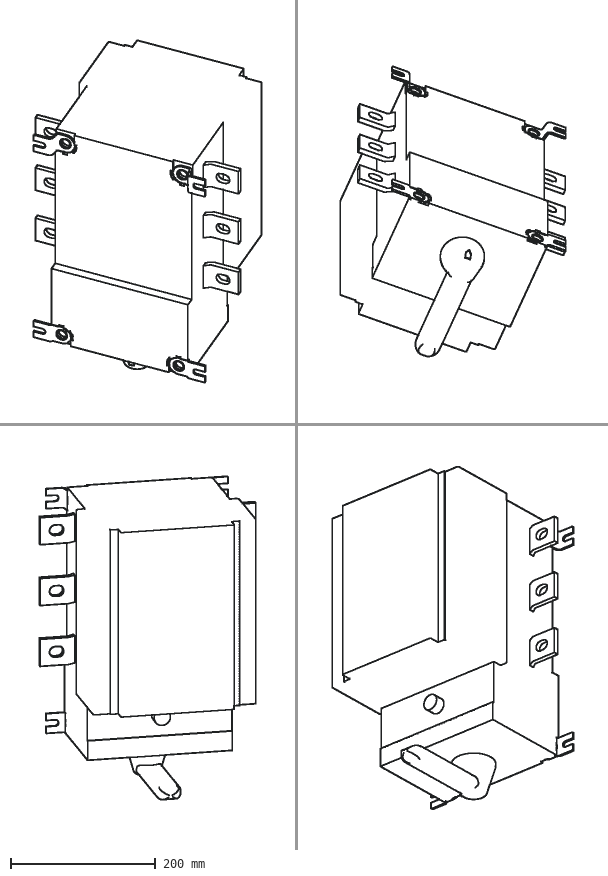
import cadquery as cq
import math


TOTAL_WIDTH = 305.7
TOTAL_DEPTH = 247.0
TOTAL_HEIGHT = 406.0

BODY_HALF_WIDTH = 102.7
BODY_FRONT = 14.5
BODY_REAR = 138.5
BODY_BOTTOM = 48.0

DRIVE_FRONT = 1.5
DRIVE_TOP = 174.5
BASE_PLATE_REAR = 140.5
BASE_PLATE_HEIGHT = 28.0

OVERLAP = 4.0

COVER_HALF_WIDTH = 115.7
COVER_FRONT = 123.5
COVER_REAR = 229.0
COVER_BOTTOM = 140.0
COVER_FRONT_RADIUS = 5.0
COVER_REAR_RADIUS = 3.0
COVER_END_RADIUS = 1.2
BACK_HALF_WIDTH = 80.5
BACK_RADIUS = 1.5
STRIP_HALF_WIDTH = 91.8
STRIP_THICKNESS = 1.5

STUB_DIAMETER = 23.0
STUB_END = 154.0
STUB_Z = 106.8

LUG_HEIGHT = 39.0
LUG_THICKNESS = 7.5
LUG_REAR = 68.5
LUG_BEND_X = 111.2
LUG_BEND_ANGLE = 36.0
LUG_BEND_RADIUS = 4.5
LUG_PITCH = 87.5
LUG_MIDDLE_Z = 273.0
LUG_SLOT_X = 129.5
LUG_SLOT_LENGTH = 20.0
LUG_SLOT_HEIGHT = 15.0

FOOT_THICKNESS = 3.0
FOOT_END_X = 129.0
FOOT_UPPER_Z = 386.0
FOOT_CORNER_RADIUS = 1.2
FOOT_SLOT_HEIGHT = 9.0
FOOT_SLOT_END_X = 111.2
UPPER_WEB_OUTER_X = 102.5
UPPER_WEB_INNER_X = 99.5
UPPER_WEB_WIDTH = 2.5
UPPER_BEND_INNER_RADIUS = 3.2
UPPER_BEND_OUTER_RADIUS = UPPER_BEND_INNER_RADIUS + FOOT_THICKNESS
LOWER_WEB_OUTER_X = 104.0
LOWER_WEB_INNER_X = 100.5
LOWER_BEND_RADIUS = 3.2
PAD_SINK = 1.2
PAD_X = 88.0
PAD_RADIUS = 14.2
FOOT_LOWER_Z = BODY_BOTTOM + PAD_RADIUS
SCREW_RADIUS = 8.0
SCREW_HOLE_RADIUS = 6.5
SCREW_HEAD_DEPTH = 1.5
SCREW_HOLE_DEPTH = 6.0

NOTCH_REACH = 17.5
NOTCH_WIDTH = 6.5
NOTCH_ANGLES = (0, 30, 90)

KNOB_Y = 62.0
KNOB_TOP_RADIUS = 30.5
KNOB_RIM_HEIGHT = 4.5
KNOB_END_RADIUS = 18.0
KNOB_EDGE_RADIUS = 5.0
LEVER_END_Y = 206.2
LEVER_WIDTH = 35.0
LEVER_HEIGHT = 17.5
LEVER_TOP_RADIUS = 5.5
LEVER_BOTTOM_RADIUS = 8.5
LEVER_NOSE_LENGTH = 19.5
ARROW_WIDTH = 7.7
ARROW_BOTTOM = 9.0
ARROW_SHOULDER = 18.5
ARROW_TOP = 24.8
ARROW_DEPTH = 1.2


def block(x_half, y_range, z_range):
    """Box centred on X = 0 between the given Y and Z limits."""
    y_min, y_max = y_range
    z_min, z_max = z_range
    return cq.Workplane("XY").box(
        2 * x_half, y_max - y_min, z_max - z_min, centered=(True, False, False)
    ).translate((0, y_min, z_min))


def extrude_along_y(sketch_points, y_min, y_max):
    """Prism of an XZ outline between two Y positions."""
    plane = cq.Workplane("XZ", origin=(0, y_min, 0))
    return plane.polyline(sketch_points).close().extrude(y_min - y_max)


def cylinder_along_y(radius, x, z, y_min, y_max):
    plane = cq.Workplane("XZ", origin=(x, y_min, z))
    return plane.circle(radius).extrude(y_min - y_max)


def mirror_copies(solid):
    """The solid together with its mirror image across X = 0."""
    return solid.union(solid.mirror("YZ"))


def make_housing():
    upper = block(BODY_HALF_WIDTH, (BODY_FRONT, BODY_REAR), (BODY_BOTTOM, TOTAL_HEIGHT))
    drive = block(BODY_HALF_WIDTH, (DRIVE_FRONT, BODY_REAR), (BODY_BOTTOM, DRIVE_TOP))
    base_top = BODY_BOTTOM + BASE_PLATE_HEIGHT
    base_plate = block(BODY_HALF_WIDTH, (BODY_FRONT, BASE_PLATE_REAR), (BODY_BOTTOM, base_top))
    stub = cylinder_along_y(STUB_DIAMETER / 2, 0, STUB_Z, BODY_REAR - OVERLAP, STUB_END)
    return upper.union(drive).union(base_plate).union(stub)


def make_cover():
    z_range = (COVER_BOTTOM, TOTAL_HEIGHT)
    cover = block(COVER_HALF_WIDTH, (COVER_FRONT, COVER_REAR), z_range)
    cover = cover.edges("|Z and <Y").fillet(COVER_FRONT_RADIUS)
    cover = cover.edges("|Z and >Y").fillet(COVER_REAR_RADIUS)
    cover = cover.faces("<Z or >Z").edges().fillet(COVER_END_RADIUS)
    strips = block(STRIP_HALF_WIDTH, (COVER_REAR - OVERLAP, COVER_REAR + STRIP_THICKNESS), z_range)
    back = block(BACK_HALF_WIDTH, (COVER_REAR - OVERLAP, TOTAL_DEPTH), z_range)
    back = back.edges("|Z and >Y").fillet(BACK_RADIUS)
    return cover.union(strips).union(back)


def make_lug(z):
    """Right-hand terminal lug: a flat bar bent forwards into the housing wall."""
    end_x = TOTAL_WIDTH / 2
    root_x = BODY_HALF_WIDTH - OVERLAP
    bend_angle = math.radians(LUG_BEND_ANGLE)
    drop = (LUG_BEND_X - root_x) * math.tan(bend_angle)
    sloped_thickness = LUG_THICKNESS / math.cos(bend_angle)
    front = LUG_REAR - LUG_THICKNESS
    rear_bend_x = LUG_BEND_X + LUG_THICKNESS * math.tan(bend_angle / 2)
    outline = [
        (end_x, front),
        (LUG_BEND_X, front),
        (root_x, front - drop),
        (root_x, front - drop + sloped_thickness),
        (rear_bend_x, LUG_REAR),
        (end_x, LUG_REAR),
    ]
    bottom = cq.Workplane("XY", origin=(0, 0, z - LUG_HEIGHT / 2))
    lug = bottom.polyline(outline).close().extrude(LUG_HEIGHT)
    bend = cq.selectors.BoxSelector(
        (LUG_BEND_X - LUG_THICKNESS, 0, 0), (LUG_BEND_X + LUG_THICKNESS, TOTAL_DEPTH, TOTAL_HEIGHT)
    )
    lug = lug.edges("|Z").edges(bend).fillet(LUG_BEND_RADIUS)
    slot = (
        cq.Workplane("XZ", origin=(LUG_SLOT_X, front, z))
        .slot2D(LUG_SLOT_LENGTH, LUG_SLOT_HEIGHT)
        .extrude(-LUG_THICKNESS)
    )
    return lug.cut(slot)


def make_pocket(z, face_y, toward_end):
    """Recess for a foot pad; it opens to the side and to the housing end (toward_end = +1 up, -1 down)."""
    depth = PAD_SINK + FOOT_THICKNESS
    end_z = TOTAL_HEIGHT if toward_end > 0 else BODY_BOTTOM
    middle_edge = z - toward_end * PAD_RADIUS
    inner_x = PAD_X - PAD_RADIUS
    open_outline = [
        (inner_x, z),
        (PAD_X, z),
        (PAD_X, middle_edge),
        (BODY_HALF_WIDTH, middle_edge),
        (BODY_HALF_WIDTH, end_z),
        (inner_x, end_z),
    ]
    pocket = extrude_along_y(open_outline, face_y, face_y + depth)
    pocket = pocket.union(cylinder_along_y(PAD_RADIUS, PAD_X, z, face_y, face_y + depth))
    for angle in NOTCH_ANGLES:
        notch = (
            cq.Workplane("XZ", origin=(PAD_X, face_y, z))
            .transformed(rotate=(0, 0, 180 + toward_end * angle))
            .center(NOTCH_REACH / 2, 0)
            .rect(NOTCH_REACH, NOTCH_WIDTH)
            .extrude(-depth)
        )
        pocket = pocket.union(notch)
    return pocket


def make_strip(z, pad_front, front_bends, rear_bends, inner_radius, outer_radius):
    """Bent strip of a foot: sunken pad, web between the (pad, tongue) bend X positions, outer tongue."""
    pad_rear = pad_front + FOOT_THICKNESS
    front_pad_x, front_tongue_x = front_bends
    rear_pad_x, rear_tongue_x = rear_bends
    outline = [
        (PAD_X, pad_front),
        (front_pad_x, pad_front),
        (front_tongue_x, 0),
        (FOOT_END_X, 0),
        (FOOT_END_X, FOOT_THICKNESS),
        (rear_tongue_x, FOOT_THICKNESS),
        (rear_pad_x, pad_rear),
        (PAD_X, pad_rear),
    ]
    bottom = cq.Workplane("XY", origin=(0, 0, z - PAD_RADIUS))
    strip = bottom.polyline(outline).close().extrude(2 * PAD_RADIUS)
    bend_edges = (
        (front_pad_x, pad_front, inner_radius),
        (rear_tongue_x, FOOT_THICKNESS, inner_radius),
        (front_tongue_x, 0, outer_radius),
        (rear_pad_x, pad_rear, outer_radius),
    )
    for x, y, radius in bend_edges:
        edge = cq.selectors.NearestToPointSelector((x, y, z))
        strip = strip.edges("|Z").edges(edge).fillet(radius)
    return strip


def make_upper_strip():
    """Z-shaped strip with a steep web, reaching from the housing face to the mounting plane."""
    front_bends = (UPPER_WEB_INNER_X, UPPER_WEB_OUTER_X)
    rear_bends = [x + UPPER_WEB_WIDTH for x in front_bends]
    return make_strip(
        FOOT_UPPER_Z,
        BODY_FRONT + PAD_SINK,
        front_bends,
        rear_bends,
        UPPER_BEND_INNER_RADIUS,
        UPPER_BEND_OUTER_RADIUS,
    )


def make_lower_strip():
    """Nearly flat strip with a slight step from the pad to the tongue."""
    bends = (LOWER_WEB_INNER_X, LOWER_WEB_OUTER_X)
    return make_strip(
        FOOT_LOWER_Z, DRIVE_FRONT + PAD_SINK, bends, bends, LOWER_BEND_RADIUS, LOWER_BEND_RADIUS
    )


def finish_foot(strip, z, face_y):
    """Add the tongue's rounded corners and open slot, and the round end of the pad."""
    slot = (
        cq.Workplane("XZ", origin=(FOOT_END_X, 0, z))
        .slot2D(2 * (FOOT_END_X - FOOT_SLOT_END_X), FOOT_SLOT_HEIGHT)
        .extrude(-FOOT_THICKNESS)
    )
    pad_front = face_y + PAD_SINK
    pad = cylinder_along_y(PAD_RADIUS, PAD_X, z, pad_front, pad_front + FOOT_THICKNESS)
    return strip.edges("|Y and >X").fillet(FOOT_CORNER_RADIUS).cut(slot).union(pad)


def make_screw_recess(z, face_y):
    pad_front = face_y + PAD_SINK
    head = cylinder_along_y(SCREW_RADIUS, PAD_X, z, pad_front, pad_front + SCREW_HEAD_DEPTH)
    hole = cylinder_along_y(SCREW_HOLE_RADIUS, PAD_X, z, pad_front, pad_front + SCREW_HOLE_DEPTH)
    return head.union(hole)


def make_knob():
    rim_z = BODY_BOTTOM - KNOB_RIM_HEIGHT
    rim = cq.Workplane("XY", origin=(0, KNOB_Y, rim_z)).circle(KNOB_TOP_RADIUS).extrude(KNOB_RIM_HEIGHT)
    cone = (
        cq.Workplane("XY", origin=(0, KNOB_Y, 0))
        .circle(KNOB_END_RADIUS)
        .workplane(offset=rim_z)
        .circle(KNOB_TOP_RADIUS)
        .loft()
        .faces("<Z")
        .edges()
        .fillet(KNOB_EDGE_RADIUS)
    )
    return rim.union(cone)


def make_lever():
    """Flat lever under the housing, running back from the knob to a round end with an elliptical nose."""
    half = LEVER_WIDTH / 2
    lever = (
        cq.Workplane("XY")
        .moveTo(-half, KNOB_Y)
        .lineTo(-half, LEVER_END_Y - half)
        .threePointArc((0, LEVER_END_Y), (half, LEVER_END_Y - half))
        .lineTo(half, KNOB_Y)
        .threePointArc((0, KNOB_Y - half), (-half, KNOB_Y))
        .close()
        .extrude(LEVER_HEIGHT)
    )
    lever = lever.faces("<Z").edges().fillet(LEVER_BOTTOM_RADIUS)
    lever = lever.faces(">Z").edges().fillet(LEVER_TOP_RADIUS)
    nose_start = LEVER_END_Y - LEVER_NOSE_LENGTH
    side_profile = (
        cq.Workplane("YZ", origin=(-half, 0, 0))
        .moveTo(nose_start, LEVER_HEIGHT)
        .lineTo(0, LEVER_HEIGHT)
        .lineTo(0, 0)
        .lineTo(nose_start, 0)
        .ellipseArc(LEVER_NOSE_LENGTH, LEVER_HEIGHT / 2, -90, 90, startAtCurrent=True)
        .close()
        .extrude(LEVER_WIDTH)
    )
    return lever.intersect(side_profile)


def make_arrow():
    """Pointer mark sunk into the front of the knob, following its slope."""
    half = ARROW_WIDTH / 2
    outline = [
        (-half, ARROW_BOTTOM),
        (half, ARROW_BOTTOM),
        (half, ARROW_SHOULDER),
        (0, ARROW_TOP),
        (-half, ARROW_SHOULDER),
    ]
    prism = extrude_along_y(outline, KNOB_Y - KNOB_TOP_RADIUS, KNOB_Y)
    core = make_knob().translate((0, ARROW_DEPTH, 0))
    return prism.cut(core)


result = make_housing().union(make_cover())

for row in (-1, 0, 1):
    result = result.union(mirror_copies(make_lug(LUG_MIDDLE_Z + row * LUG_PITCH)))

for strip, foot_z, face_y, toward_end in (
    (make_upper_strip(), FOOT_UPPER_Z, BODY_FRONT, 1),
    (make_lower_strip(), FOOT_LOWER_Z, DRIVE_FRONT, -1),
):
    result = result.cut(mirror_copies(make_pocket(foot_z, face_y, toward_end)))
    result = result.union(mirror_copies(finish_foot(strip, foot_z, face_y)))
    result = result.cut(mirror_copies(make_screw_recess(foot_z, face_y)))

result = result.union(make_knob()).union(make_lever()).cut(make_arrow())